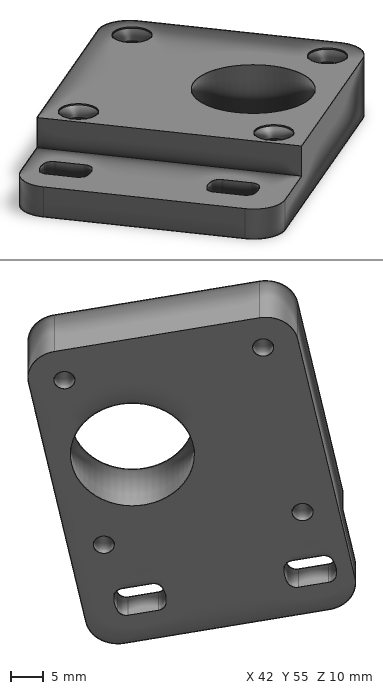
import cadquery as cq
import math

width = 42.0
length = 55.0
height = 10.0
flange_height = height / 2
flange_length = 14.5
corner_radius = 5.0

screw_inset = 5.5
screw_spacing = width - 2 * screw_inset
screw_diameter = 3.2
countersink_diameter = 6.1
countersink_angle = 90
countersink_lip = 0.2

bore_diameter = 19.0
bore_inset = 13.05

slot_length = 8.0
slot_width = 5.0
slot_end_radius = 5.0
slot_corner_radius = 1.5
slot_inset = 6.5
slot_spacing = 26.55
slot_edge_distance = 7.5

left = -width / 2
front = -length / 2
screw_center_y = length / 2 - screw_inset - screw_spacing / 2


def stepped_plate():
    plate = cq.Workplane("XY").box(width, length, height, centered=(True, True, False))
    plate = plate.edges("|Z").fillet(corner_radius)
    step = (
        cq.Workplane("XY")
        .box(width, flange_length, height - flange_height, centered=(True, False, False))
        .translate((0, front, flange_height))
    )
    return plate.cut(step)


def screw_hole_cutters():
    hole_radius = screw_diameter / 2
    rim_radius = countersink_diameter / 2
    cone_depth = (rim_radius - hole_radius) / math.tan(math.radians(countersink_angle / 2))
    cone_top = height - countersink_lip
    profile = [
        (0, 0),
        (hole_radius, 0),
        (hole_radius, cone_top - cone_depth),
        (rim_radius, cone_top),
        (rim_radius, height),
        (0, height),
    ]
    cutter = cq.Workplane("XZ").polyline(profile).close().revolve(360, (0, 0), (0, 1)).val()
    return (
        cq.Workplane("XY")
        .center(0, screw_center_y)
        .rarray(screw_spacing, screw_spacing, 2, 2)
        .eachpoint(lambda location: cutter.moved(location))
    )


def bore_cutter():
    center = (-left - bore_inset, screw_center_y)
    return cq.Workplane("XY").center(*center).circle(bore_diameter / 2).extrude(height)


def slot_cutter(center_x):
    tip_x = slot_length / 2
    side_y = slot_width / 2
    end_bow = slot_end_radius - math.sqrt(slot_end_radius**2 - side_y**2)
    corner_x = tip_x - end_bow
    slot = (
        cq.Workplane("XY")
        .moveTo(-corner_x, -side_y)
        .lineTo(corner_x, -side_y)
        .threePointArc((tip_x, 0), (corner_x, side_y))
        .lineTo(-corner_x, side_y)
        .threePointArc((-tip_x, 0), (-corner_x, -side_y))
        .close()
        .extrude(flange_height)
        .edges("|Z")
        .fillet(slot_corner_radius)
    )
    return slot.translate((center_x, front + slot_edge_distance, 0))


result = stepped_plate().cut(screw_hole_cutters()).cut(bore_cutter())
for slot_number in range(2):
    result = result.cut(slot_cutter(left + slot_inset + slot_number * slot_spacing))